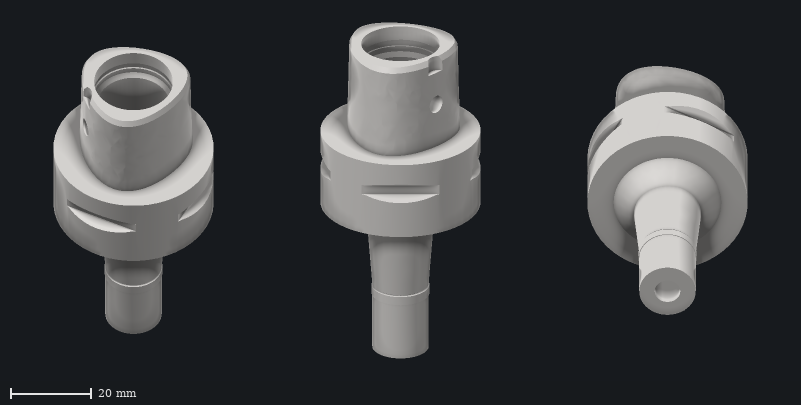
import cadquery as cq
import math

TOTAL_HEIGHT = 84.0
FLANGE_BOTTOM = 40.1
FLANGE_TOP = 60.1
FLARE_BOTTOM = 35.0
TAPER_BOTTOM = 17.55
TIP_HEIGHT = 17.1
COLLAR_BOTTOM = 14.9

FLANGE_RADIUS = 20.0
FLARE_TOP_RADIUS = 13.4
TAPER_TOP_RADIUS = 8.4
TIP_RADIUS = 7.05
COLLAR_RADIUS = 7.2
NECK_RADIUS = 6.5

LOBE_AMPLITUDE = 1.1
LOBE_COUNT = 3
POINTS_PER_LOBE = 12
SHANK_BASE_RADIUS = 14.0
SHANK_SHOULDER_RADIUS = 13.4
SHANK_TOP_RADIUS = 12.7
SHANK_CHAMFER_HEIGHT = 1.35

MOUTH_RADIUS = 9.8
GROOVE_RADIUS = 10.25
GROOVE_TOP_DEPTH = 3.7
GROOVE_BOTTOM_DEPTH = 5.5
SEAT_TOP_DEPTH = 6.9
SEAT_BOTTOM_DEPTH = 8.1
BORE_RADIUS = 9.0
BORE_DEPTH = 25.2
LOWER_BORE_RADIUS = 6.3
LOWER_BORE_DEPTH = 37.8
THROUGH_RADIUS = 3.2

NOTCH_RADIUS = 2.9
NOTCH_INNER_Y = -10.9
NOTCH_DEPTH = 3.9
SIDE_HOLE_RADIUS = 2.3
SIDE_HOLE_DEPTH = 12.4

SLOT_COUNT = 4
SLOT_FLOOR_DISTANCE = 17.5
SLOT_FLARE_DISTANCE = 17.9
SLOT_FLOOR_HEIGHT = 2.6
SLOT_MOUTH_HEIGHT = 5.1
SLOT_CENTER_Z = 52.1


def lobed_wire(mean_radius, z):
    """Closed smooth three-lobed outline with one lobe towards +Y."""
    count = LOBE_COUNT * POINTS_PER_LOBE
    points = []
    for i in range(count):
        angle = 2 * math.pi * i / count
        along = mean_radius * math.cos(angle) + LOBE_AMPLITUDE * math.cos(2 * angle)
        across = mean_radius * math.sin(angle) - LOBE_AMPLITUDE * math.sin(2 * angle)
        points.append(cq.Vector(-across, along, z))
    return cq.Wire.assembleEdges([cq.Edge.makeSpline(points, periodic=True)])


def make_shank():
    """Tapered lobed shank with a bevelled end."""
    shoulder_z = TOTAL_HEIGHT - SHANK_CHAMFER_HEIGHT
    base = lobed_wire(SHANK_BASE_RADIUS, FLANGE_TOP)
    shoulder = lobed_wire(SHANK_SHOULDER_RADIUS, shoulder_z)
    end = lobed_wire(SHANK_TOP_RADIUS, TOTAL_HEIGHT)
    return cq.Workplane(cq.Solid.makeLoft([base, shoulder, end], True))


def make_turned_body():
    """Flange, flare, tapered stem and the short neck that meets the tip."""
    profile = [
        (0, TIP_HEIGHT),
        (NECK_RADIUS, TIP_HEIGHT),
        (NECK_RADIUS, TAPER_BOTTOM),
        (TIP_RADIUS, TAPER_BOTTOM),
        (TAPER_TOP_RADIUS, FLARE_BOTTOM),
        (FLARE_TOP_RADIUS, FLANGE_BOTTOM),
        (FLANGE_RADIUS, FLANGE_BOTTOM),
        (FLANGE_RADIUS, FLANGE_TOP),
        (0, FLANGE_TOP),
    ]
    return cq.Workplane("XZ").polyline(profile).close().revolve(360, (0, 0), (0, 1))


def make_bore():
    """Cutter for the stepped, grooved bore that ends in the through hole."""
    steps = [
        (0, 0),
        (MOUTH_RADIUS, 0),
        (MOUTH_RADIUS, GROOVE_TOP_DEPTH),
        (GROOVE_RADIUS, GROOVE_TOP_DEPTH),
        (GROOVE_RADIUS, GROOVE_BOTTOM_DEPTH),
        (MOUTH_RADIUS, GROOVE_BOTTOM_DEPTH),
        (MOUTH_RADIUS, SEAT_TOP_DEPTH),
        (BORE_RADIUS, SEAT_BOTTOM_DEPTH),
        (BORE_RADIUS, BORE_DEPTH),
        (LOWER_BORE_RADIUS, BORE_DEPTH),
        (LOWER_BORE_RADIUS, LOWER_BORE_DEPTH),
        (THROUGH_RADIUS, LOWER_BORE_DEPTH),
        (THROUGH_RADIUS, TOTAL_HEIGHT),
        (0, TOTAL_HEIGHT),
    ]
    profile = [(radius, TOTAL_HEIGHT - depth) for radius, depth in steps]
    return cq.Workplane("XZ").polyline(profile).close().revolve(360, (0, 0), (0, 1))


def make_notch():
    """Cutter for the round-backed notch at the shank's end."""
    return (
        cq.Workplane("XY", origin=(0, NOTCH_INNER_Y - NOTCH_RADIUS, TOTAL_HEIGHT - NOTCH_DEPTH))
        .circle(NOTCH_RADIUS)
        .extrude(NOTCH_DEPTH)
    )


def make_side_hole():
    """Cutter for the radial hole from the -Y side into the bore."""
    return (
        cq.Workplane("XZ", origin=(0, 0, TOTAL_HEIGHT - SIDE_HOLE_DEPTH))
        .circle(SIDE_HOLE_RADIUS)
        .extrude(FLANGE_RADIUS)
    )


def make_slot(angle):
    """Cutter for a flat-floored slot, straight-sided then flared, at an angle about Z."""
    half_floor = SLOT_FLOOR_HEIGHT / 2
    half_mouth = SLOT_MOUTH_HEIGHT / 2
    profile = [
        (SLOT_FLOOR_DISTANCE, -half_floor),
        (SLOT_FLARE_DISTANCE, -half_floor),
        (FLANGE_RADIUS, -half_mouth),
        (FLANGE_RADIUS, half_mouth),
        (SLOT_FLARE_DISTANCE, half_floor),
        (SLOT_FLOOR_DISTANCE, half_floor),
    ]
    return (
        cq.Workplane("XZ", origin=(0, 0, SLOT_CENTER_Z))
        .polyline(profile)
        .close()
        .extrude(FLANGE_RADIUS, both=True)
        .rotate((0, 0, 0), (0, 0, 1), angle)
    )


def make_holder():
    """Tool holder with its shank, flange and tapered stem."""
    body = make_turned_body().union(make_shank())
    body = body.cut(make_bore()).cut(make_notch()).cut(make_side_hole())
    slot_spacing = 360 / SLOT_COUNT
    for i in range(SLOT_COUNT):
        body = body.cut(make_slot(slot_spacing * (i + 0.5)))
    return body


def make_tip():
    """Hollow cylindrical tip with a slightly larger collar at its upper end."""
    barrel = cq.Workplane("XY").circle(TIP_RADIUS).extrude(TIP_HEIGHT)
    collar = (
        cq.Workplane("XY", origin=(0, 0, COLLAR_BOTTOM))
        .circle(COLLAR_RADIUS)
        .extrude(TIP_HEIGHT - COLLAR_BOTTOM)
    )
    through_hole = cq.Workplane("XY").circle(THROUGH_RADIUS).extrude(TIP_HEIGHT)
    return barrel.union(collar).cut(through_hole)


holder = make_holder()
tip = make_tip()

result = cq.Compound.makeCompound([holder.val(), tip.val()])